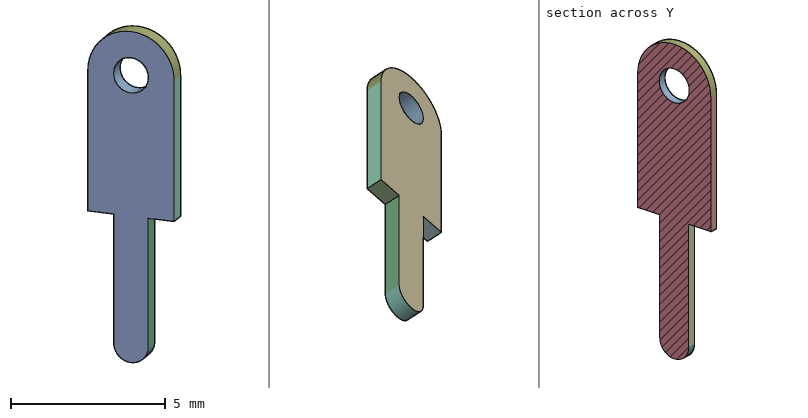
import cadquery as cq

total_height = 11.3
thickness = 0.6
head_width = 3.0
stem_width = 1.2
stem_length = 5.0
hole_diameter = 1.2

head_radius = head_width / 2
stem_radius = stem_width / 2
hole_height = total_height - head_radius


def make_blade():
    """Flat terminal: a round-topped head on a narrow round-tipped stem."""
    return (
        cq.Workplane("XZ")
        .moveTo(-stem_radius, stem_radius)
        .threePointArc((0, 0), (stem_radius, stem_radius))
        .lineTo(stem_radius, stem_length)
        .lineTo(head_radius, stem_length)
        .lineTo(head_radius, hole_height)
        .threePointArc((0, total_height), (-head_radius, hole_height))
        .lineTo(-head_radius, stem_length)
        .lineTo(-stem_radius, stem_length)
        .close()
        .extrude(thickness / 2, both=True)
    )


def make_hole():
    """Cylinder that cuts the eye through the head."""
    return (
        cq.Workplane("XZ", origin=(0, thickness, hole_height))
        .circle(hole_diameter / 2)
        .extrude(2 * thickness)
    )


result = make_blade().cut(make_hole())